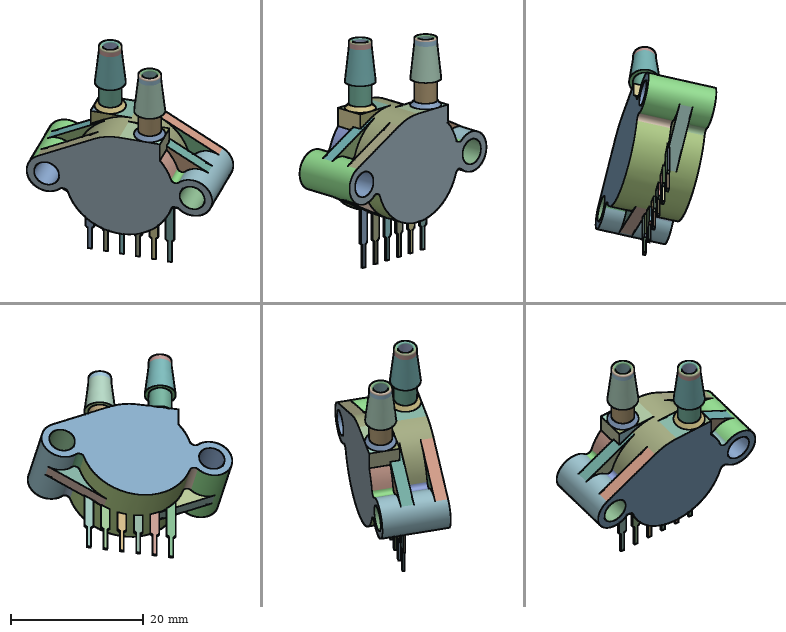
import cadquery as cq
import math


depth = 10.67
half_depth = depth / 2
total_width = 29.46
total_height = 34.89
body_radius = 8.61
ear_radius = 3.175
ear_x = total_width / 2 - ear_radius
ear_hole_diameter = 3.96
neck_radius = 0.75

web_thickness = 2.05

port_x = 4.06
port_foot_radius = 2.385
port_y = half_depth - port_foot_radius
stem_radius = 1.765
barb_radius = 2.37
bore_radius = 1.12
lip_radius = 0.26
foot_top_z = 9.31
barb_base_z = 12.79
barb_top_z = 18.34
port_top_z = 19.34

pin_count = 6
pin_pitch = 2.54
pin_thickness = 0.36
pin_width = 1.37
pin_tip_width = 0.61
shoulder_top_z = -11.57
shoulder_bottom_z = -11.94
pin_bottom_z = port_top_z - total_height
pin_root_z = -4.0


def slab(sketch, y_min, y_max):
    """Extrude an XZ outline between two Y positions."""
    return sketch.extrude(y_max - y_min).translate((0, y_max, 0))


def make_core():
    """Round body with two ears, joined through concave necks."""
    to_body = body_radius + neck_radius
    to_ear = ear_radius + neck_radius
    neck_x = (to_body**2 - to_ear**2 + ear_x**2) / (2 * ear_x)
    neck_z = math.sqrt(to_body**2 - neck_x**2)

    body_touch_x = neck_x * body_radius / to_body
    body_touch_z = neck_z * body_radius / to_body
    ear_touch_x = ear_x + (neck_x - ear_x) * ear_radius / to_ear
    ear_touch_z = neck_z * ear_radius / to_ear
    neck_waist_z = neck_z - neck_radius

    outline = (
        cq.Workplane("XZ")
        .moveTo(-body_touch_x, body_touch_z)
        .threePointArc((0, body_radius), (body_touch_x, body_touch_z))
        .threePointArc((neck_x, neck_waist_z), (ear_touch_x, ear_touch_z))
        .threePointArc((ear_x + ear_radius, 0), (ear_touch_x, -ear_touch_z))
        .threePointArc((neck_x, -neck_waist_z), (body_touch_x, -body_touch_z))
        .threePointArc((0, -body_radius), (-body_touch_x, -body_touch_z))
        .threePointArc((-neck_x, -neck_waist_z), (-ear_touch_x, -ear_touch_z))
        .threePointArc((-ear_x - ear_radius, 0), (-ear_touch_x, ear_touch_z))
        .threePointArc((-neck_x, neck_waist_z), (-body_touch_x, body_touch_z))
        .close()
    )
    return slab(outline, -half_depth, half_depth)


def make_web(x_side, z_side, y_min):
    """Flat web whose outer edge is tangent to both the body and one ear."""
    sine = (body_radius - ear_radius) / ear_x
    cosine = math.sqrt(1 - sine**2)
    outline = (
        cq.Workplane("XZ")
        .moveTo(0, 0)
        .lineTo(x_side * body_radius * sine, z_side * body_radius * cosine)
        .lineTo(x_side * (ear_x + ear_radius * sine), z_side * ear_radius * cosine)
        .lineTo(x_side * ear_x, 0)
        .close()
    )
    return slab(outline, y_min, y_min + web_thickness)


def make_port_block(side):
    """Square-cornered shoulder under a port, from mid-width out to the foot."""
    block_width = port_x + port_foot_radius
    block_depth = 2 * port_foot_radius
    block = cq.Workplane("XY").box(block_width, block_depth, body_radius, centered=(True, True, False))
    return block.translate((side * block_width / 2, -side * port_y, 0))


def make_port(side):
    """Barbed hose port with a conical foot and a rounded mouth."""
    lip_diagonal = lip_radius * math.sqrt(0.5)
    lip_centre_r = stem_radius - lip_radius
    bore_lip_centre_r = bore_radius + lip_radius
    lip_centre_z = port_top_z - lip_radius
    port = (
        cq.Workplane("XZ")
        .moveTo(bore_radius, body_radius)
        .lineTo(port_foot_radius, body_radius)
        .lineTo(stem_radius, foot_top_z)
        .lineTo(stem_radius, barb_base_z)
        .lineTo(barb_radius, barb_base_z)
        .lineTo(stem_radius, barb_top_z)
        .lineTo(stem_radius, lip_centre_z)
        .threePointArc(
            (lip_centre_r + lip_diagonal, lip_centre_z + lip_diagonal),
            (lip_centre_r, port_top_z),
        )
        .lineTo(bore_lip_centre_r, port_top_z)
        .threePointArc(
            (bore_lip_centre_r - lip_diagonal, lip_centre_z + lip_diagonal),
            (bore_radius, lip_centre_z),
        )
        .close()
        .revolve(360, (0, 0, 0), (0, 1, 0))
    )
    return port.translate((side * port_x, -side * port_y, 0))


def make_pin(x):
    """Flat contact pin that steps down to a narrow tip."""
    half_width = pin_width / 2
    half_tip = pin_tip_width / 2
    outline = (
        cq.Workplane("XZ")
        .moveTo(x - half_width, pin_root_z)
        .lineTo(x + half_width, pin_root_z)
        .lineTo(x + half_width, shoulder_top_z)
        .lineTo(x + half_tip, shoulder_bottom_z)
        .lineTo(x + half_tip, pin_bottom_z)
        .lineTo(x - half_tip, pin_bottom_z)
        .lineTo(x - half_tip, shoulder_bottom_z)
        .lineTo(x - half_width, shoulder_top_z)
        .close()
    )
    return slab(outline, -pin_thickness / 2, pin_thickness / 2)


result = make_core()

for side in (1, -1):
    outer_web_y = -half_depth if side == 1 else half_depth - web_thickness
    inner_web_y = -web_thickness if side == 1 else 0
    result = result.union(make_web(-side, 1, outer_web_y))
    result = result.union(make_web(side, 1, inner_web_y))
    result = result.union(make_web(-side, -1, inner_web_y))
    result = result.union(make_port_block(side))
    result = result.union(make_port(side))

for index in range(pin_count):
    result = result.union(make_pin((index - (pin_count - 1) / 2) * pin_pitch))

ear_holes = (
    cq.Workplane("XZ")
    .pushPoints([(-ear_x, 0), (ear_x, 0)])
    .circle(ear_hole_diameter / 2)
)
result = result.cut(slab(ear_holes, -half_depth, half_depth))